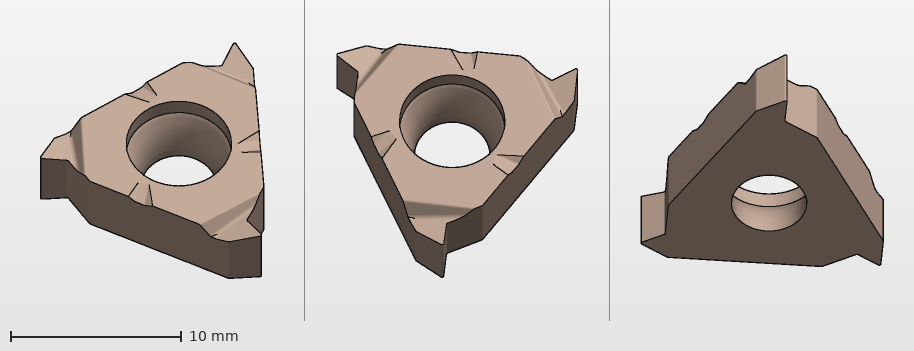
import cadquery as cq
import math

thickness = 4.2
side_distance = 4.76
relief_distance = 5.86
tooth_start = -5.58
notch_x = -2.92
flank_angle = math.radians(60)
nose_radius = 0.1
notch_radius = 0.14
corner_radius = 0.25
corner_angles = (0, 120, 240)

bore_radius = 4.4 / 2
counterbore_radius = 3.08
counterbore_depth = 1.12
seat_radius = 2.94
seat_drop = 0.18
seat_depth = 2.29
seat_bulge = 0.17

groove_root_x = 6.11
groove_root_depth = 0.65
groove_run = cq.Vector(-1.1, 15.8, 1.8)
wall_slope = 1.3
rake_slope = 0.21
groove_floor_depth = 0.78
groove_root_radius = 0.31
groove_rim_radius = 0.18
groove_reach = 4.24

ramp_depth = 0.25
ramp_length = 1.27
ramp_floor_width = 0.66
ramp_side_slope = 0.6
ramp_centre_y = 0.24
ramp_turn = 15.0
ramp_floor_radius = 0.17
ramp_overrun = 0.85
ramp_clearance = 0.21


def rotated(point, degrees):
    """Turn an (x, y) point about the hole axis."""
    angle = math.radians(degrees)
    x, y = point
    return (
        x * math.cos(angle) - y * math.sin(angle),
        x * math.sin(angle) + y * math.cos(angle),
    )


def make_body():
    steepness = math.tan(flank_angle)
    start = (-side_distance, tooth_start)
    notch = (notch_x, -relief_distance)
    tip_x = (start[0] + notch[0] + (start[1] - notch[1]) / steepness) / 2
    tip = (tip_x, start[1] - steepness * (tip_x - start[0]))
    relief_end_x = (side_distance - relief_distance * math.sin(flank_angle)) / math.cos(flank_angle)
    relief_end = (relief_end_x, -relief_distance)

    corner = (start, tip, notch, relief_end)
    radii = (corner_radius, nose_radius, notch_radius, corner_radius)
    outline = [rotated(point, angle) for angle in corner_angles for point in corner]
    body = cq.Workplane("XY").polyline(outline).close().extrude(thickness)
    for point, radius in zip(corner, radii):
        for angle in corner_angles:
            x, y = rotated(point, angle)
            nearest = cq.selectors.NearestToPointSelector((x, y, thickness / 2))
            body = body.edges("|Z").edges(nearest).fillet(radius)
    return body


def make_hole():
    counterbore_floor = thickness - counterbore_depth
    seat_top = counterbore_floor - seat_drop
    seat_bottom = seat_top - seat_depth
    chord = cq.Vector(bore_radius - seat_radius, -seat_depth)
    inward = cq.Vector(chord.y, -chord.x).normalized()
    middle = cq.Vector(seat_radius, seat_top) + chord * 0.5 + inward * seat_bulge
    seat_middle = (middle.x, middle.y)
    return (
        cq.Workplane("XZ")
        .moveTo(0, thickness)
        .lineTo(counterbore_radius, thickness)
        .lineTo(counterbore_radius, counterbore_floor)
        .lineTo(seat_radius, seat_top)
        .threePointArc(seat_middle, (bore_radius, seat_bottom))
        .lineTo(bore_radius, 0)
        .lineTo(0, 0)
        .close()
        .revolve(360, (0, 0), (0, 1))
    )


def make_chip_groove():
    root_z = thickness - groove_root_depth
    profile = [
        (groove_root_x, root_z),
        (groove_root_x + groove_reach, root_z + rake_slope * groove_reach),
        (groove_root_x + groove_reach, root_z + groove_reach),
        (groove_root_x - groove_reach / wall_slope, root_z + groove_reach),
    ]
    face = cq.Face.makeFromWires(cq.Wire.makePolygon([cq.Vector(x, 0, z) for x, z in profile], close=True))
    run = groove_run.multiply(2 * groove_reach / groove_run.y)
    prism = cq.Solid.extrudeLinear(face.translate(run.multiply(-0.5)), run)
    root = cq.selectors.NearestToPointSelector((groove_root_x, 0, root_z))
    prism = cq.Workplane(obj=prism).edges(root).fillet(groove_root_radius)
    above_floor = (
        cq.Workplane("XY", origin=(groove_root_x, 0, thickness - groove_floor_depth))
        .box(4 * groove_reach, 4 * groove_reach, 2 * groove_reach, centered=(True, True, False))
    )
    return prism.intersect(above_floor)


def make_ramp():
    slope = ramp_depth / ramp_length
    turn = math.radians(ramp_turn)
    run = cq.Vector(math.cos(turn), math.sin(turn), slope)
    height = ramp_depth + ramp_overrun * slope + ramp_clearance
    half_floor = ramp_floor_width / 2
    half_top = half_floor + height / ramp_side_slope
    start = cq.Vector(-side_distance, ramp_centre_y, thickness - ramp_depth) - run * ramp_overrun
    across = cq.Vector(-math.sin(turn), math.cos(turn), 0)
    up = cq.Vector(0, 0, height)
    section = [
        start - across * half_floor,
        start + across * half_floor,
        start + across * half_top + up,
        start - across * half_top + up,
    ]
    face = cq.Face.makeFromWires(cq.Wire.makePolygon(section, close=True))
    prism = cq.Workplane(obj=cq.Solid.extrudeLinear(face, run * (ramp_overrun + ramp_length)))
    for side in (-1, 1):
        middle = start + across * (side * half_floor) + run * ((ramp_overrun + ramp_length) / 2)
        prism = prism.edges(cq.selectors.NearestToPointSelector(middle.toTuple())).fillet(ramp_floor_radius)
    return prism


def cut_at_corners(body, cutter):
    for angle in corner_angles:
        body = body.cut(cutter.rotate((0, 0, 0), (0, 0, 1), angle))
    return body


def round_groove_rims(body):
    rim_x = groove_root_x - groove_root_depth / wall_slope
    for angle in corner_angles:
        x, y = rotated((rim_x, 0), angle)
        body = body.edges(cq.selectors.NearestToPointSelector((x, y, thickness))).fillet(groove_rim_radius)
    return body


result = make_body().cut(make_hole())
result = cut_at_corners(result, make_chip_groove())
result = round_groove_rims(result)
result = cut_at_corners(result, make_ramp())